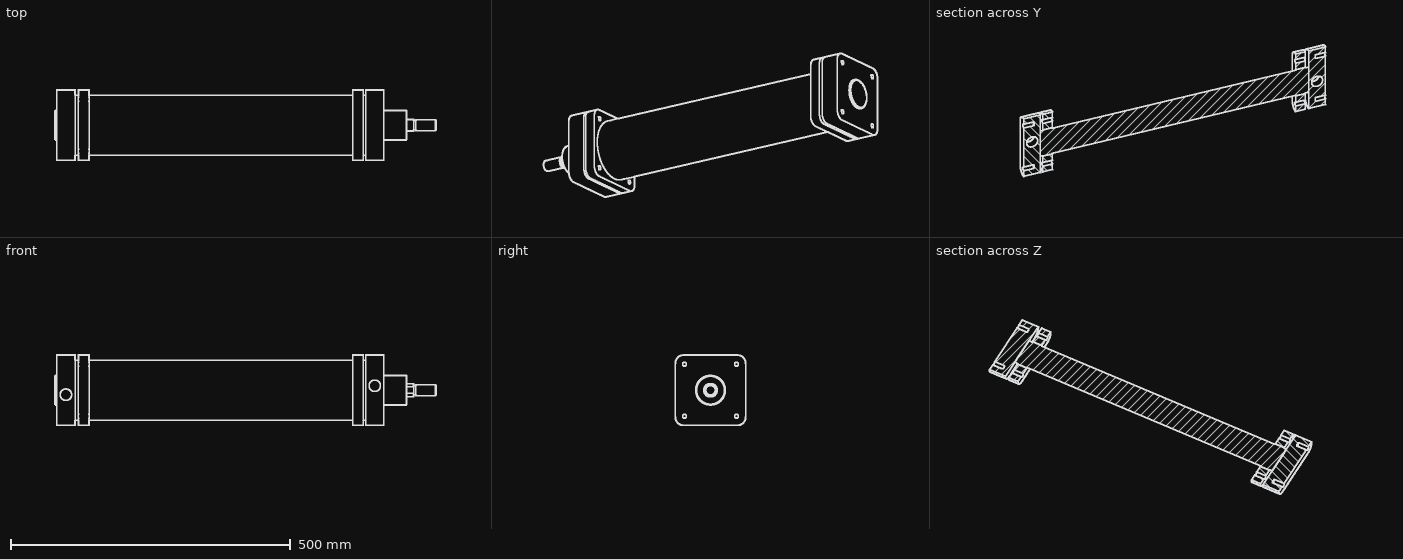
import cadquery as cq


head_side = 126.0
head_corner_radius = 15.0
head_thickness = 33.0
flange_thickness = 19.0
rear_gap = 6.0
front_gap = 4.0

barrel_diameter = 108.0
barrel_length = 519.0

boss_diameter = 53.0
boss_chamfer = 1.5
rear_boss_height = 3.0
front_boss_height = 41.0

port_diameter = 20.5
port_depth = 25.0
port_offset = 8.0

bolt_spacing = 93.0
bolt_hole_diameter = 7.0
head_bolt_hole_depth = 20.0

rod_diameter = 24.0
rod_across_flats = 21.0
shoulder_length = 12.0
undercut_diameter = 17.0
undercut_length = 4.0
thread_diameter = 20.0
thread_length = 36.0
thread_chamfer = 1.5

rear_head_start = rear_boss_height
barrel_start = rear_head_start + head_thickness
rear_flange_start = barrel_start + rear_gap
barrel_end = barrel_start + barrel_length
front_flange_start = barrel_end - front_gap - flange_thickness
front_head_end = barrel_end + head_thickness
front_boss_end = front_head_end + front_boss_height
shoulder_end = front_boss_end + shoulder_length
thread_start = shoulder_end + undercut_length


def cross_section(x):
    """Workplane across the axis at x, facing +X."""
    return cq.Workplane("YZ", origin=(x, 0, 0))


def cylinder(start, length, diameter):
    """Round bar on the X axis, running towards +X from start."""
    return cross_section(start).circle(diameter / 2).extrude(length)


def square_plate(start, thickness):
    """Square plate with rounded corners, centred on the X axis."""
    plate = cross_section(start).rect(head_side, head_side).extrude(thickness)
    return plate.edges("|X").fillet(head_corner_radius)


def bolt_holes(start, depth):
    """Four corner holes to cut, running towards +X from start."""
    corners = cross_section(start).rect(bolt_spacing, bolt_spacing, forConstruction=True).vertices()
    return corners.circle(bolt_hole_diameter / 2).extrude(depth)


def port(x, z):
    """Blind air port to cut from the -Y side."""
    side_face = cq.Workplane("XZ", origin=(x, -head_side / 2, z))
    return side_face.circle(port_diameter / 2).extrude(-port_depth)


def make_rear_head():
    boss = cylinder(0, rear_boss_height, boss_diameter).faces("<X").chamfer(boss_chamfer)
    head = square_plate(rear_head_start, head_thickness).union(boss)
    head = head.cut(port(rear_head_start + head_thickness / 2, -port_offset))
    return head.cut(bolt_holes(rear_head_start, head_bolt_hole_depth))


def make_front_head():
    boss = cylinder(front_head_end, front_boss_height, boss_diameter).faces(">X").chamfer(boss_chamfer)
    head = square_plate(barrel_end, head_thickness).union(boss)
    head = head.cut(port(barrel_end + head_thickness / 2, port_offset))
    head = head.cut(bolt_holes(front_head_end - head_bolt_hole_depth, head_bolt_hole_depth))
    rod_bore = cylinder(barrel_end, head_thickness + front_boss_height, rod_diameter)
    return head.cut(rod_bore)


def make_flange(start):
    """Flange that the barrel passes through, with through bolt holes."""
    flange = square_plate(start, flange_thickness)
    flange = flange.cut(cylinder(start, flange_thickness, barrel_diameter))
    return flange.cut(bolt_holes(start, flange_thickness))


def make_barrel():
    return cylinder(barrel_start, barrel_length, barrel_diameter)


def make_piston_rod():
    rod = cylinder(barrel_end, shoulder_end - barrel_end, rod_diameter)

    between_flats = cross_section(front_boss_end).rect(rod_across_flats, rod_diameter).extrude(shoulder_length)
    flat_waste = cylinder(front_boss_end, shoulder_length, rod_diameter).cut(between_flats)
    rod = rod.cut(flat_waste)

    undercut = cylinder(shoulder_end, undercut_length, undercut_diameter)
    thread = cylinder(thread_start, thread_length, thread_diameter)
    thread = thread.faces(">X").chamfer(thread_chamfer)
    return rod.union(undercut).union(thread)


rear_head = make_rear_head()
front_head = make_front_head()
flanges = [make_flange(start) for start in (rear_flange_start, front_flange_start)]
barrel = make_barrel()
piston_rod = make_piston_rod()

result = cq.Compound.makeCompound([
    rear_head.val(),
    front_head.val(),
    *[flange.val() for flange in flanges],
    barrel.val(),
    piston_rod.val(),
])